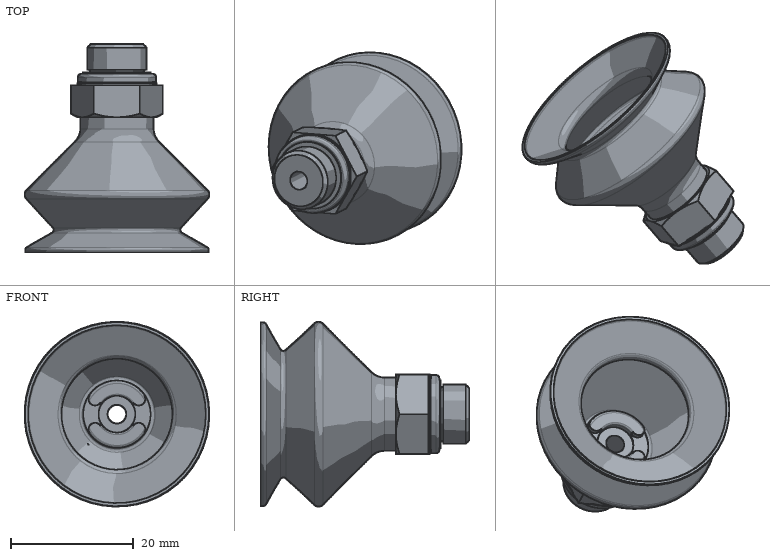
import cadquery as cq
import math


overall_length = 34.0
thread_diameter = 9.73
thread_chamfer = 0.6
thread_end = 29.75
undercut_top_diameter = 9.1
undercut_root_diameter = 8.6
collar_diameter = 11.1
collar_top = 29.35
ring_diameter = 12.8
ring_top = 29.15
ring_bottom = 27.75
ring_round = 0.6
groove_diameter = 11.6
seat_diameter = 13.0
seat_top = 27.55
hex_across_flats = 13.0
hex_top = 27.3
hex_bottom = 22.05
hex_chamfer_angle = 30.0
bore_diameter = 3.0

neck_diameter = 12.0
neck_round = 3.0
bulge_station = 9.46
bulge_corner_radius = 15.475
bulge_round = 1.0
throat_corner_radius = 10.02
throat_corner_station = 3.55
throat_round = 0.55
lip_diameter = 30.0
lip_corner_station = 0.71
lip_round = 0.6

mouth_diameter = 29.0
mouth_depth = 0.25
mouth_round = 0.2
inner_throat_radius = 8.33
inner_throat_station = 3.31
inner_throat_round = 1.08
inner_bulge_radius = 14.15
inner_bulge_round = 0.5

boss_diameter = 11.0
boss_face = 17.0
boss_root_round = 0.4
recess_diameter = 6.0
recess_depth = 0.3

pad_height = 1.0
pad_inner_round = 0.3
pad_outer_round = 0.44
pad_end_radius = 1.06
pad_end_x = 3.56
pad_end_z = 2.47


def rounded_outline(corners):
    """Closed outline from (radius, station, corner round); a round of 0 keeps the corner sharp."""
    path = None
    for index, (x, y, fillet) in enumerate(corners):
        before = corners[index - 1]
        after = corners[(index + 1) % len(corners)]
        corner = cq.Vector(x, y)
        back = (cq.Vector(before[0], before[1]) - corner).normalized()
        ahead = (cq.Vector(after[0], after[1]) - corner).normalized()
        half_angle = back.getAngle(ahead) / 2
        setback = fillet / math.tan(half_angle)
        start = corner + back * setback
        if path is None:
            path = cq.Workplane("XY").moveTo(start.x, start.y)
        else:
            path = path.lineTo(start.x, start.y)
        if fillet > 0:
            apex_to_arc = fillet / math.sin(half_angle) - fillet
            middle = corner + (back + ahead).normalized() * apex_to_arc
            end = corner + ahead * setback
            path = path.threePointArc((middle.x, middle.y), (end.x, end.y))
    return path.close()


def turned(corners):
    """Solid of revolution about the Y axis."""
    return rounded_outline(corners).revolve(360, (0, 0, 0), (0, 1, 0))


def cylinder(diameter, start, end):
    """Cylinder on the Y axis between two stations."""
    return cq.Workplane("XZ", origin=(0, start, 0)).circle(diameter / 2).extrude(start - end)


def make_fitting():
    thread_radius = thread_diameter / 2
    return turned([
        (0, overall_length, 0),
        (thread_radius - thread_chamfer, overall_length, 0),
        (thread_radius, overall_length - thread_chamfer, 0),
        (thread_radius, thread_end, 0),
        (undercut_top_diameter / 2, thread_end, 0),
        (undercut_root_diameter / 2, collar_top, 0),
        (collar_diameter / 2, collar_top, 0),
        (collar_diameter / 2, ring_top, 0),
        (ring_diameter / 2, ring_top, ring_round),
        (ring_diameter / 2, ring_bottom, 0),
        (groove_diameter / 2, ring_bottom, 0),
        (groove_diameter / 2, seat_top, 0),
        (seat_diameter / 2, seat_top, 0),
        (seat_diameter / 2, hex_top, 0),
        (0, hex_top, 0),
    ])


def make_hexagon():
    """Hexagon with corners on the X axis, its bellows end chamfered by a cone."""
    corner_diameter = hex_across_flats / math.cos(math.pi / 6)
    prism = (
        cq.Workplane("XZ", origin=(0, hex_bottom, 0))
        .polygon(6, corner_diameter)
        .extrude(hex_bottom - hex_top)
    )
    flat_radius = hex_across_flats / 2
    cone_radius = flat_radius + (hex_top - hex_bottom) / math.tan(math.radians(hex_chamfer_angle))
    cone = turned([
        (0, hex_bottom, 0),
        (flat_radius, hex_bottom, 0),
        (cone_radius, hex_top, 0),
        (0, hex_top, 0),
    ])
    return prism.intersect(cone)


def make_bellows():
    neck_radius = neck_diameter / 2
    shoulder_station = bulge_station + bulge_corner_radius - neck_radius
    return turned([
        (0, hex_bottom, 0),
        (neck_radius, hex_bottom, 0),
        (neck_radius, shoulder_station, neck_round),
        (bulge_corner_radius, bulge_station, bulge_round),
        (throat_corner_radius, throat_corner_station, throat_round),
        (lip_diameter / 2, lip_corner_station, lip_round),
        (lip_diameter / 2, 0, 0),
        (0, 0, 0),
    ])


def make_cavity():
    """Space inside the bellows, leaving the boss standing on its floor."""
    boss_radius = boss_diameter / 2
    groove_station = bulge_station + inner_bulge_radius - boss_radius
    return turned([
        (0, 0, 0),
        (mouth_diameter / 2, 0, 0),
        (mouth_diameter / 2, mouth_depth, mouth_round),
        (inner_throat_radius, inner_throat_station, inner_throat_round),
        (inner_bulge_radius, bulge_station, inner_bulge_round),
        (boss_radius, groove_station, boss_root_round),
        (boss_radius, boss_face, 0),
        (0, boss_face, 0),
    ])


def make_pads():
    """Ring with rounded rims, trimmed to two kidney shapes with round ends."""
    ring = turned([
        (recess_diameter / 2, boss_face, 0),
        (recess_diameter / 2, boss_face - pad_height, pad_inner_round),
        (boss_diameter / 2, boss_face - pad_height, pad_outer_round),
        (boss_diameter / 2, boss_face, 0),
    ])
    plane = cq.Workplane("XZ", origin=(0, boss_face, 0))
    ends = plane.rect(2 * pad_end_x, 2 * pad_end_z, forConstruction=True).vertices()
    trim = ends.circle(pad_end_radius).extrude(pad_height)
    reach = boss_diameter / math.hypot(pad_end_x, pad_end_z)
    for side in (1, -1):
        tip_z = side * reach * pad_end_z
        sector = plane.polyline([(0, 0), (reach * pad_end_x, tip_z), (-reach * pad_end_x, tip_z)])
        trim = trim.union(sector.close().extrude(pad_height))
    return ring.intersect(trim)


body = make_bellows().union(make_hexagon()).union(make_fitting())
body = body.cut(make_cavity()).union(make_pads())
body = body.cut(cylinder(recess_diameter, boss_face, boss_face + recess_depth))
result = body.cut(cylinder(bore_diameter, 0, overall_length))